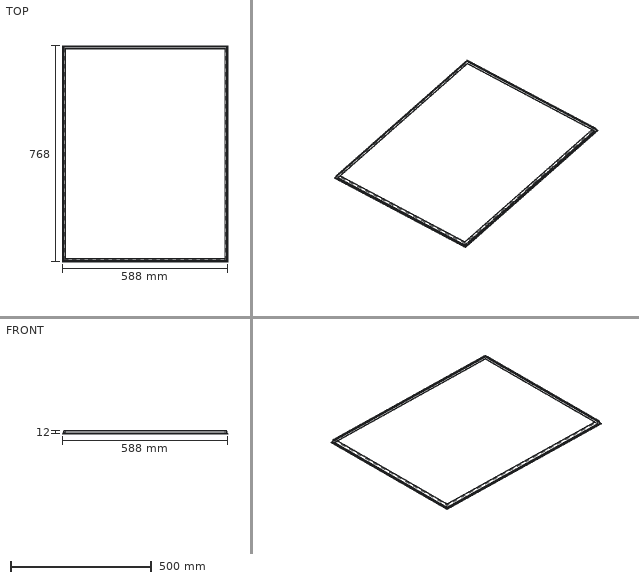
import cadquery as cq

WIDTH = 588.0
LENGTH = 768.0
HEIGHT = 12.0

LIP_HEIGHT = 1.0
BEVEL_HEIGHT = 3.0

BEVEL_INSET = 2.7
TOP_OUTER_INSET = 5.3
TOP_FACE_WIDTH = 6.0
TOP_INNER_INSET = TOP_OUTER_INSET + TOP_FACE_WIDTH
INNER_UNDERCUT = 2.0
BASE_INNER_INSET = TOP_INNER_INSET - INNER_UNDERCUT


def frustum(bottom_height, bottom_inset, top_height, top_inset):
    """Rectangular block whose sides run straight from one inset to another."""
    return (
        cq.Workplane("XY", origin=(0, 0, bottom_height))
        .rect(WIDTH - 2 * bottom_inset, LENGTH - 2 * bottom_inset)
        .workplane(offset=top_height - bottom_height)
        .rect(WIDTH - 2 * top_inset, LENGTH - 2 * top_inset)
        .loft(ruled=True)
    )


lip = frustum(0, 0, LIP_HEIGHT, 0)
bevel = frustum(LIP_HEIGHT, 0, BEVEL_HEIGHT, BEVEL_INSET)
wall = frustum(BEVEL_HEIGHT, BEVEL_INSET, HEIGHT, TOP_OUTER_INSET)

opening = frustum(0, BASE_INNER_INSET, HEIGHT, TOP_INNER_INSET)

result = lip.union(bevel).union(wall).cut(opening)